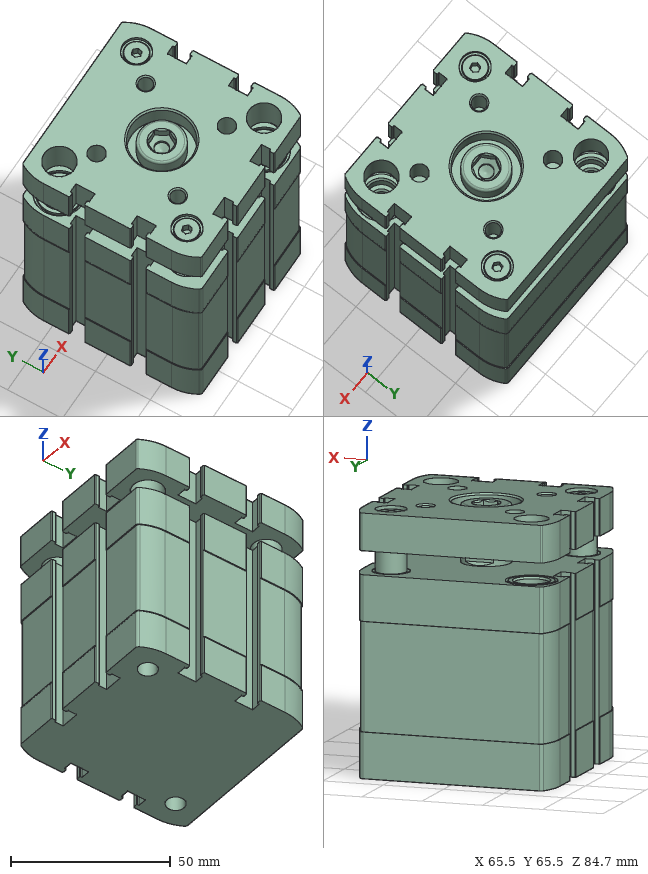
import cadquery as cq
import math

width = 65.5
total_height = 84.7
plate_thickness = 12.0
housing_height = 65.05
cap_height = 14.9
barrel_inset = 0.3

hex_corner_ratio = 2 / math.sqrt(3)

half_width = width / 2
corner_radius = 16.9
corner_start = 23.5
housing_edge_radius = 1.35
plate_edge_radius = 0.7

slot_offset = 11.2
slot_mouth_width = 5.3
slot_inner_width = 6.95
slot_depth = 5.2
slot_lip = 1.9
slot_mouth_chamfer = 0.3
slot_lip_chamfer = 0.25

corner_offset = 23.3
guide_corners = [(corner_offset, corner_offset), (-corner_offset, -corner_offset)]
bolt_corners = [(-corner_offset, corner_offset), (corner_offset, -corner_offset)]

rod_diameter = 16.0
rod_top = total_height - 0.85
rod_top_fillet = 0.85
rod_flats_width = 13.05
rod_flats_bottom = 66.15
rod_flats_slope = 30.0
rod_seat_depth = cap_height
hex_socket_width = 8.0
hex_socket_depth = 3.0
hex_rim_chamfer = 0.6
rod_hole_diameter = 4.9
rod_hole_depth = 0.85
drill_cone_angle = 30.0

guide_diameter = 10.0
guide_head_diameter = 8.55
guide_head_top = total_height - 0.85
guide_head_chamfer = 0.25
guide_recess_depth = 1.2
guide_hex_width = 3.0
guide_hex_depth = 3.0
guide_hex_turn = 15.0
guide_collar_diameter = 12.0
guide_collar_depth = 0.2

access_hole_diameter = 11.0
rod_recess_diameter = 22.0
rod_recess_depth = 7.0
rod_recess_chamfer = 0.6
mount_offset = 14.8
thread_hole_diameter = 5.0
mount_hole_diameter = 6.0

bolt_hole_diameter = 6.6
bolt_hole_rim = 8.0
counterbore_diameter = 10.75
counterbore_rim = 12.0
counterbore_depth = 4.7
ring_outer_diameter = 16.4
ring_inner_diameter = 14.65
ring_depth = 1.0


def cylinder(diameter, bottom, top, points=((0, 0),)):
    """Round bars between two heights, one at each point."""
    return (
        cq.Workplane("XY", origin=(0, 0, bottom))
        .pushPoints(list(points))
        .circle(diameter / 2)
        .extrude(top - bottom)
    )


def cone(bottom_diameter, top_diameter, bottom, top, point=(0, 0)):
    """A cone frustum, or a full cone where the bottom diameter is zero."""
    solid = cq.Solid.makeCone(
        bottom_diameter / 2, top_diameter / 2, top - bottom, cq.Vector(point[0], point[1], bottom)
    )
    return cq.Workplane(solid)


def hexagon(across_flats, bottom, top, turn=0.0):
    """An upright hexagonal prism on the Z axis with a corner at the given angle from +X."""
    corner_circle = across_flats * hex_corner_ratio
    prism = cq.Workplane("XY", origin=(0, 0, bottom)).polygon(6, corner_circle).extrude(top - bottom)
    return prism.rotate((0, 0, 0), (0, 0, 1), turn)


def profile_block(bottom, top, inset, edge_radius):
    """A block whose +X and -X sides curve in toward the corners."""
    side = half_width - inset
    radius = corner_radius - inset
    center_x = half_width - corner_radius

    def arc_x(y):
        return center_x + math.sqrt(radius**2 - (y - corner_start) ** 2)

    end_x = arc_x(side)
    mid_y = (corner_start + side) / 2
    mid_x = arc_x(mid_y)
    block = (
        cq.Workplane("XY", origin=(0, 0, bottom))
        .moveTo(side, -corner_start)
        .lineTo(side, corner_start)
        .threePointArc((mid_x, mid_y), (end_x, side))
        .lineTo(-end_x, side)
        .threePointArc((-mid_x, mid_y), (-side, corner_start))
        .lineTo(-side, -corner_start)
        .threePointArc((-mid_x, -mid_y), (-end_x, -side))
        .lineTo(end_x, -side)
        .threePointArc((mid_x, -mid_y), (side, -corner_start))
        .close()
        .extrude(top - bottom)
    )
    return block.faces("<Y or >Y").edges("|Z").fillet(edge_radius)


def t_slots(bottom, top):
    """Two T-slots along Z in each of the -Y, +X and -X sides."""
    mouth = slot_mouth_width / 2
    inner = slot_inner_width / 2
    half_outline = [
        (mouth + slot_mouth_chamfer, 0),
        (mouth, slot_mouth_chamfer),
        (mouth, slot_lip - slot_lip_chamfer),
        (mouth + slot_lip_chamfer, slot_lip),
        (inner, slot_lip),
        (inner, slot_depth),
    ]
    outline = half_outline + [(-x, y) for x, y in reversed(half_outline)]
    slot = (
        cq.Workplane("XY", origin=(0, -half_width, bottom))
        .polyline(outline)
        .close()
        .extrude(top - bottom)
    )
    slots = cq.Workplane("XY")
    for turn in (-90, 0, 90):
        for offset in (-slot_offset, slot_offset):
            slots = slots.add(slot.translate((offset, 0, 0)).rotate((0, 0, 0), (0, 0, 1), turn))
    return slots.combine()


def make_housing():
    """Two end caps and a slightly slimmer barrel in one piece, with rod seats and bolt holes."""
    barrel_top = housing_height - cap_height
    housing = (
        profile_block(0, cap_height, 0, housing_edge_radius)
        .union(profile_block(cap_height, barrel_top, barrel_inset, housing_edge_radius))
        .union(profile_block(barrel_top, housing_height, 0, housing_edge_radius))
        .cut(t_slots(0, housing_height))
    )

    seat_bottom = housing_height - rod_seat_depth
    housing = housing.cut(cylinder(rod_diameter, seat_bottom, housing_height))
    housing = housing.cut(cylinder(guide_diameter, seat_bottom, housing_height, guide_corners))
    collar_bottom = housing_height - guide_collar_depth
    housing = housing.cut(
        cylinder(guide_collar_diameter, collar_bottom, housing_height, guide_corners)
    )

    floor = housing_height - counterbore_depth
    rim_drop = (counterbore_rim - counterbore_diameter) / 2
    hole_drop = (bolt_hole_rim - bolt_hole_diameter) / 2
    ring_bottom = housing_height - ring_depth
    housing = housing.cut(cylinder(bolt_hole_diameter, 0, housing_height, bolt_corners))
    housing = housing.cut(cylinder(counterbore_diameter, floor, housing_height, bolt_corners))
    for point in bolt_corners:
        housing = housing.cut(
            cone(counterbore_diameter, counterbore_rim, housing_height - rim_drop, housing_height, point)
        )
        housing = housing.cut(cone(bolt_hole_diameter, bolt_hole_rim, floor - hole_drop, floor, point))
        ring = cylinder(ring_outer_diameter, ring_bottom, housing_height, [point]).cut(
            cylinder(ring_inner_diameter, ring_bottom, housing_height, [point])
        )
        housing = housing.cut(ring)
    return housing


def make_plate():
    """The yoke plate with its slots and holes, without the rods that fill its bores."""
    bottom = total_height - plate_thickness
    plate = profile_block(bottom, total_height, 0, plate_edge_radius)
    plate = plate.cut(t_slots(bottom, total_height))
    plate = plate.cut(cylinder(access_hole_diameter, bottom, total_height, bolt_corners))

    recess_bottom = total_height - rod_recess_depth
    rim_diameter = rod_recess_diameter + 2 * rod_recess_chamfer
    plate = plate.cut(cylinder(rod_recess_diameter, recess_bottom, total_height))
    plate = plate.cut(
        cone(rod_recess_diameter, rim_diameter, total_height - rod_recess_chamfer, total_height)
    )

    thread_drop = (mount_hole_diameter - thread_hole_diameter) / 2
    for sign in (1, -1):
        thread_point = (sign * mount_offset, sign * mount_offset)
        plain_point = (sign * mount_offset, -sign * mount_offset)
        plate = plate.cut(cylinder(thread_hole_diameter, bottom, total_height, [thread_point]))
        plate = plate.cut(
            cone(
                thread_hole_diameter,
                mount_hole_diameter,
                total_height - thread_drop,
                total_height,
                thread_point,
            )
        )
        plate = plate.cut(cylinder(mount_hole_diameter, bottom, total_height, [plain_point]))

    plate = plate.cut(cylinder(rod_diameter, bottom, total_height))
    return plate.cut(cylinder(guide_diameter, bottom, total_height, guide_corners))


def make_piston_rod():
    """The central rod with wrench flats and a hexagon socket."""
    rod = cylinder(rod_diameter, housing_height - rod_seat_depth, rod_top)
    rod = rod.faces(">Z").edges().fillet(rod_top_fillet)

    flat = rod_flats_width / 2
    edge = rod_diameter / 2
    plate_bottom = total_height - plate_thickness
    run_out = (edge - flat) * math.tan(math.radians(rod_flats_slope))
    cutter = (
        cq.Workplane("YZ", origin=(-edge, 0, 0))
        .moveTo(flat, plate_bottom)
        .lineTo(flat, rod_flats_bottom)
        .lineTo(edge, rod_flats_bottom - run_out)
        .lineTo(edge, plate_bottom)
        .close()
        .extrude(rod_diameter)
    )
    rod = rod.cut(cutter).cut(cutter.mirror("XZ"))

    corner_diameter = hex_socket_width * hex_corner_ratio
    slope = math.tan(math.radians(drill_cone_angle))
    socket_bottom = rod_top - hex_socket_depth
    cone_drop = (corner_diameter - rod_hole_diameter) / 2 * slope
    hole_top = socket_bottom - cone_drop
    hole_bottom = hole_top - rod_hole_depth
    tip = hole_bottom - rod_hole_diameter / 2 * slope
    socket = hexagon(hex_socket_width, hole_top, rod_top)
    below = cone(rod_hole_diameter, corner_diameter, hole_top, socket_bottom).union(
        cylinder(corner_diameter, socket_bottom, rod_top)
    )
    rim = cone(
        corner_diameter - 2 * hex_rim_chamfer, corner_diameter, rod_top - hex_rim_chamfer, rod_top
    )
    return (
        rod.cut(socket.intersect(below))
        .cut(rim)
        .cut(cylinder(rod_hole_diameter, hole_bottom, hole_top))
        .cut(cone(0, rod_hole_diameter, tip, hole_bottom))
    )


def make_guide_rod(point):
    """A guide rod whose narrower head stands in a recess of the yoke plate."""
    shoulder = total_height - guide_recess_depth
    shank = cylinder(guide_diameter, housing_height - rod_seat_depth, shoulder)
    head = cylinder(guide_head_diameter, shoulder, guide_head_top)
    head = head.faces(">Z").edges().chamfer(guide_head_chamfer)
    socket = hexagon(
        guide_hex_width, guide_head_top - guide_hex_depth, guide_head_top, guide_hex_turn
    )
    return shank.union(head).cut(socket).translate((point[0], point[1], 0))


def make_yoke():
    """The moving body: plate, piston rod and guide rods in one piece."""
    yoke = make_plate().union(make_piston_rod())
    for point in guide_corners:
        yoke = yoke.union(make_guide_rod(point))
    return yoke


housing = make_housing()
yoke = make_yoke()
result = cq.Compound.makeCompound([housing.val(), yoke.val()])